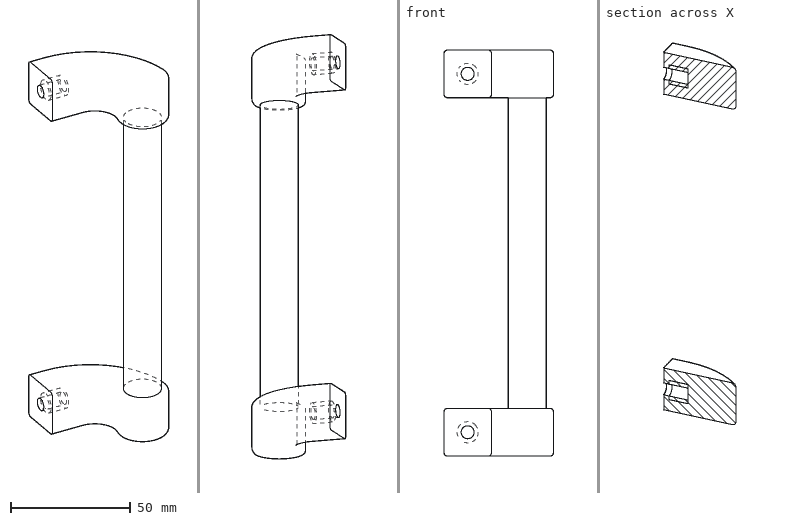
import cadquery as cq
import math

total_height = 170.4
boss_radius = 11.0
boss_offset = 35.0

bracket_height = 20.1
foot_width = 20.0
outer_straight = 7.3
inner_straight = 15.0
edge_fillet = 1.5
mount_hole_diameter = 5.5

insert_recess = 2.5
insert_length = 8.5
insert_outer_diameter = 8.9

rod_diameter = 16.0
rod_length = total_height - 2 * bracket_height


def tangent_arc_radius(side_gap, rise, boss_side):
    """Radius of an arc that starts parallel to Y and ends tangent to the boss circle.

    side_gap is the X distance from the arc's start to the boss centre, rise the Y distance.
    boss_side is -1 where the arc wraps around the boss and +1 where it curls away from it.
    """
    return (side_gap**2 + rise**2 - boss_radius**2) / (2 * (side_gap + boss_side * boss_radius))


def point_on_circle(center, radius, angle):
    return (center[0] + radius * math.cos(angle), center[1] + radius * math.sin(angle))


def bracket_outline():
    """Closed hook outline: a straight foot that bends over into a round boss."""
    outer_rise = boss_offset - outer_straight
    outer_radius = tangent_arc_radius(boss_offset, outer_rise, -1)
    outer_center = (outer_radius, outer_straight)
    outer_angle = math.atan2(outer_rise, boss_offset - outer_radius)
    outer_end = point_on_circle(outer_center, outer_radius, outer_angle)
    outer_middle = point_on_circle(outer_center, outer_radius, (math.pi + outer_angle) / 2)

    inner_gap = boss_offset - foot_width
    inner_rise = boss_offset - inner_straight
    inner_radius = tangent_arc_radius(inner_gap, inner_rise, 1)
    inner_center = (foot_width + inner_radius, inner_straight)
    inner_angle = math.atan2(inner_rise, inner_gap - inner_radius)
    inner_start = point_on_circle(inner_center, inner_radius, inner_angle)
    inner_middle = point_on_circle(inner_center, inner_radius, (math.pi + inner_angle) / 2)

    boss_far_point = (boss_offset + boss_radius, boss_offset)
    return (
        cq.Workplane("XY")
        .lineTo(0, outer_straight)
        .threePointArc(outer_middle, outer_end)
        .threePointArc(boss_far_point, inner_start)
        .threePointArc(inner_middle, (foot_width, inner_straight))
        .lineTo(foot_width, 0)
        .close()
    )


def foot_cylinder(diameter, start, length):
    """Cylinder along the mounting hole axis, beginning at depth start behind the foot face."""
    return (
        cq.Workplane("XZ", origin=(foot_width / 2, start, bracket_height / 2))
        .circle(diameter / 2)
        .extrude(-length)
    )


def make_bracket():
    """Hook-shaped end bracket with a mounting hole and a pocket for the threaded insert."""
    body = bracket_outline().extrude(bracket_height)
    body = body.faces("|Z").edges("not(<Y)").fillet(edge_fillet)
    mount_hole = foot_cylinder(mount_hole_diameter, 0, insert_recess)
    insert_pocket = foot_cylinder(insert_outer_diameter, insert_recess, insert_length)
    return body.cut(mount_hole).cut(insert_pocket)


def make_insert():
    """Sleeve that fills the pocket and carries the mounting hole on at the same diameter."""
    sleeve = foot_cylinder(insert_outer_diameter, insert_recess, insert_length)
    bore = foot_cylinder(mount_hole_diameter, insert_recess, insert_length)
    return sleeve.cut(bore)


def make_rod():
    """Plain round grip between the facing sides of the two brackets."""
    return (
        cq.Workplane("XY", origin=(boss_offset, boss_offset, bracket_height))
        .circle(rod_diameter / 2)
        .extrude(rod_length)
    )


rod = make_rod()
brackets = []
inserts = []
for base_z in (0, total_height - bracket_height):
    raise_to_base = (0, 0, base_z)
    brackets.append(make_bracket().translate(raise_to_base).val())
    inserts.append(make_insert().translate(raise_to_base).val())

result = cq.Compound.makeCompound([rod.val(), *brackets, *inserts])